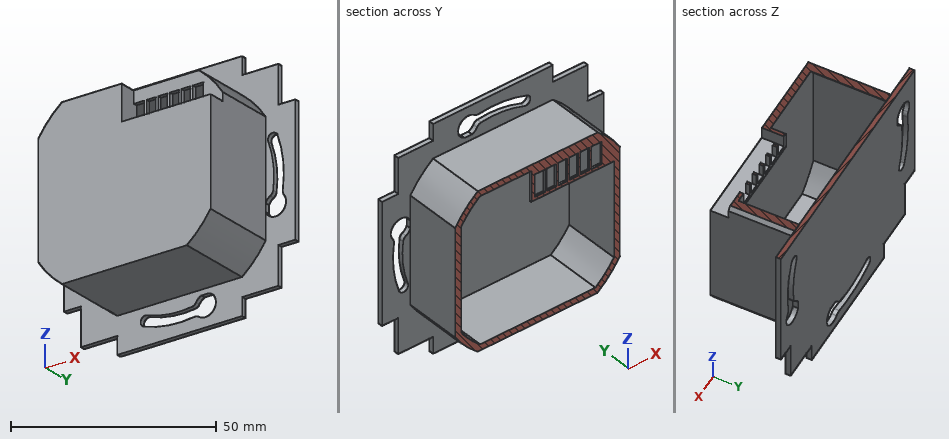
import cadquery as cq
import math


plate_size = 70.0
total_depth = 24.2
plate_thickness = 1.5
corner_square = 59.8
tab_width = 37.8

slot_radius = 30.0
slot_width = 2.95
slot_end_angle = 20.1
key_hole_angle = 15.0
key_hole_diameter = 6.4
key_hole_flat = 26.05
outer_corner_radius = 4.1 / 2
inner_corner_radius = 3.5 / 2

housing_depth = total_depth - plate_thickness
housing_width = 52.15
housing_height = 49.0
housing_corner_radius = 30.95
housing_wall = 2.0

recess_left = -0.85
recess_floor = 14.2
recess_depth = 5.05
recess_web = 1.1

terminal_count = 6
terminal_pitch = 3.5
terminal_top = 20.9
terminal_rib = 0.8


def box_between(x_range, y_range, z_range):
    """Axis-aligned box between the given limits."""
    spans = [high - low for low, high in (x_range, y_range, z_range)]
    corner = (x_range[0], y_range[0], z_range[0])
    return cq.Workplane("XY").box(*spans, centered=False).translate(corner)


def polar_point(radius, angle):
    """Point in the XZ plane, its angle in degrees clockwise from +Z."""
    turn = math.radians(angle)
    return (radius * math.sin(turn), radius * math.cos(turn))


def edge_at(point):
    """Selector for the edge along Y nearest to a point in the XZ plane."""
    return cq.selectors.NearestToPointSelector((point[0], plate_thickness / 2, point[1]))


def key_hole_meeting_point(radius):
    """Where the right side of the screw-head hole meets the slot side of the given radius."""
    hole_radius = key_hole_diameter / 2
    cosine = (radius**2 + slot_radius**2 - hole_radius**2) / (2 * radius * slot_radius)
    return polar_point(radius, math.degrees(math.acos(cosine)) - key_hole_angle)


def make_keyhole_slot():
    """Cutter for the slot along the top side of the plate."""
    outer = slot_radius + slot_width / 2
    inner = slot_radius - slot_width / 2
    middle_angle = (slot_end_angle - key_hole_angle) / 2
    plane = cq.Workplane("XZ")
    track = (
        plane.moveTo(*polar_point(outer, -key_hole_angle))
        .threePointArc(polar_point(outer, middle_angle), polar_point(outer, slot_end_angle))
        .lineTo(*polar_point(inner, slot_end_angle))
        .threePointArc(polar_point(inner, middle_angle), polar_point(inner, -key_hole_angle))
        .close()
        .extrude(-plate_thickness)
    )
    narrow_end = (
        plane.center(*polar_point(slot_radius, slot_end_angle))
        .circle(slot_width / 2)
        .extrude(-plate_thickness)
    )
    key_hole = (
        plane.center(*polar_point(slot_radius, -key_hole_angle))
        .circle(key_hole_diameter / 2)
        .extrude(-plate_thickness)
    )
    slot = track.union(narrow_end).union(key_hole)
    slot = slot.edges("|Y").edges(edge_at(key_hole_meeting_point(outer))).fillet(outer_corner_radius)
    slot = slot.edges("|Y").edges(edge_at(key_hole_meeting_point(inner))).fillet(inner_corner_radius)
    half = plate_size / 2
    return slot.intersect(box_between((-half, half), (0, plate_thickness), (key_hole_flat, half)))


def make_plate():
    """Stepped plate with four keyhole slots."""
    plane = cq.Workplane("XZ")
    plate = (
        plane.rect(corner_square, corner_square).extrude(-plate_thickness)
        .union(plane.rect(plate_size, tab_width).extrude(-plate_thickness))
        .union(plane.rect(tab_width, plate_size).extrude(-plate_thickness))
    )
    top_slot = make_keyhole_slot()
    left_slot = top_slot.rotate((0, 0, 0), (0, 1, 0), -90).mirror("XY")
    for slot in (top_slot, left_slot):
        opposite_slot = slot.rotate((0, 0, 0), (0, 1, 0), 180)
        plate = plate.cut(slot).cut(opposite_slot)
    return plate


def rounded_block(inset, depth):
    """Block with the housing's outline moved inward by an inset, running forward from Y = 0."""
    plane = cq.Workplane("XZ")
    width = housing_width - 2 * inset
    height = housing_height - 2 * inset
    disc = plane.circle(housing_corner_radius - inset).extrude(depth)
    return plane.rect(width, height).extrude(depth).intersect(disc)


def recess_block(web):
    """Space of the terminal recess, grown by a web on its left, lower and rear sides."""
    recess_rear = recess_depth - housing_depth
    return box_between(
        (recess_left - web, housing_width / 2),
        (-housing_depth, recess_rear + web),
        (recess_floor - web, housing_height / 2),
    )


def make_terminal_openings():
    """Row of openings through the rear wall of the recess, separated by ribs."""
    wall_front = recess_depth - housing_depth
    wall_range = (wall_front, wall_front + recess_web)
    z_range = (recess_floor, terminal_top)
    row_end = recess_left + terminal_count * terminal_pitch
    openings = box_between((recess_left, row_end), wall_range, z_range)
    for index in range(1, terminal_count):
        rib_middle = recess_left + index * terminal_pitch
        rib_range = (rib_middle - terminal_rib / 2, rib_middle + terminal_rib / 2)
        openings = openings.cut(box_between(rib_range, wall_range, z_range))
    return openings


def make_housing():
    """Hollow housing with the terminal recess in its front."""
    cavity = rounded_block(housing_wall, housing_depth - housing_wall).cut(recess_block(recess_web))
    housing = rounded_block(0, housing_depth).cut(cavity).cut(recess_block(0))
    return housing.cut(make_terminal_openings())


plate = make_plate()
housing = make_housing()

result = cq.Compound.makeCompound([plate.solids().val(), housing.solids().val()])